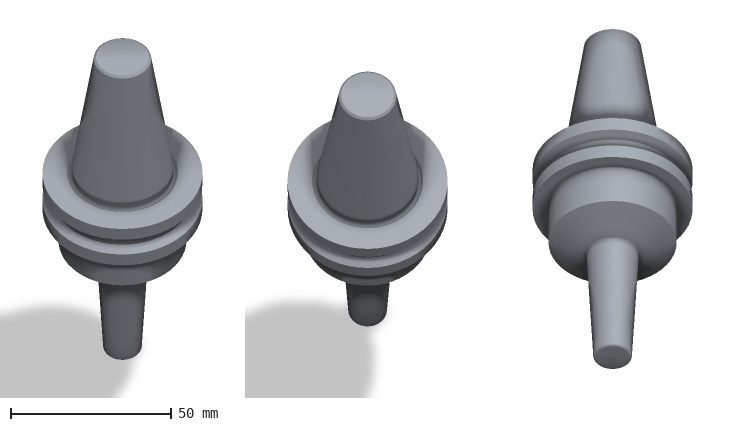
import cadquery as cq
import math

total_height = 127.8

tip_radius = 6.0
tip_fillet = 0.9
nose_top_radius = 8.2
nose_top_z = 41.9
nose_root_fillet = 1.2

body_radius = 20.0
body_root_fillet = 0.5
shoulder_z = 47.2

flange_radius = 50.0 / 2
flange_bottom_z = 61.0
flange_top_z = 76.9
groove_floor_radius = 22.1
groove_floor_width = 3.5
groove_mouth_width = 6.5

taper_on_diameter = 7 / 24
gauge_radius = 15.8
gauge_z = 79.9
gauge_band = 0.8
relief_radius = 15.6
relief_top_z = 78.5
shank_end_chamfer = 0.6

root_fillet = 1.0
undercut_depth = 0.6
undercut_rim_radius = 17.4

flange_mid_z = (flange_bottom_z + flange_top_z) / 2
shank_end_radius = gauge_radius - (total_height - gauge_z) * taper_on_diameter / 2
undercut_z = flange_top_z - undercut_depth
undercut_floor_radius = relief_radius + root_fillet


def revolve_profile(points):
    """Turn a closed (radius, z) outline once around the Z axis."""
    return cq.Workplane("XZ").polyline(points).close().revolve(360, (0, 0), (0, 1))


def circle_edge_at(radius, z):
    """Selector for the circular edge passing through the given (radius, z)."""
    margin = 0.1
    outer = radius + margin
    return cq.selectors.BoxSelector(
        (-outer, -outer, z - margin), (outer, outer, z + margin), boundingbox=True
    )


def make_nose_body_and_flange():
    half_floor = groove_floor_width / 2
    half_mouth = groove_mouth_width / 2
    solid = revolve_profile([
        (0, 0),
        (tip_radius, 0),
        (nose_top_radius, nose_top_z),
        (body_radius, shoulder_z),
        (body_radius, flange_bottom_z),
        (flange_radius, flange_bottom_z),
        (flange_radius, flange_mid_z - half_mouth),
        (groove_floor_radius, flange_mid_z - half_floor),
        (groove_floor_radius, flange_mid_z + half_floor),
        (flange_radius, flange_mid_z + half_mouth),
        (flange_radius, flange_top_z),
        (undercut_rim_radius, flange_top_z),
        (undercut_floor_radius, undercut_z),
        (0, undercut_z),
    ])
    solid = solid.edges(circle_edge_at(tip_radius, 0)).fillet(tip_fillet)
    solid = solid.edges(circle_edge_at(nose_top_radius, nose_top_z)).fillet(nose_root_fillet)
    return solid.edges(circle_edge_at(body_radius, flange_bottom_z)).fillet(body_root_fillet)


def make_shank():
    arc_offset = root_fillet * (1 - math.sqrt(0.5))
    profile = (
        cq.Workplane("XZ")
        .moveTo(0, undercut_z)
        .lineTo(undercut_floor_radius, undercut_z)
        .threePointArc(
            (relief_radius + arc_offset, undercut_z + arc_offset),
            (relief_radius, undercut_z + root_fillet),
        )
        .lineTo(relief_radius, relief_top_z)
        .lineTo(gauge_radius, gauge_z - gauge_band)
        .lineTo(gauge_radius, gauge_z)
        .lineTo(shank_end_radius, total_height)
        .lineTo(0, total_height)
        .close()
    )
    shank = profile.revolve(360, (0, 0), (0, 1))
    return shank.faces(">Z").edges().chamfer(shank_end_chamfer)


result = make_nose_body_and_flange().union(make_shank())